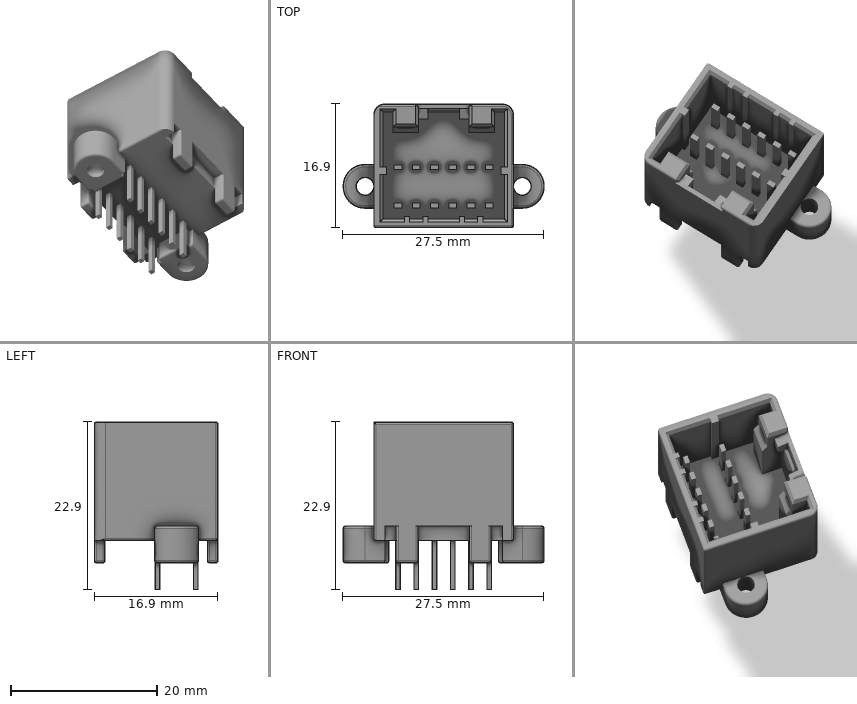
import cadquery as cq


body_x = 19.1
body_y = 16.9
body_bottom = 3.05
body_top = 19.25
back_corner_radius = 1.5
edge_radius = 0.3

cavity_half_x = 8.3
cavity_front = -7.25
cavity_back = 7.4
cavity_floor = 6.0
lip_width = 0.4
lip_depth = 0.5

tower_inner_x = 3.45
tower_outer_x = 6.95
tower_front = 5.3
tower_step = 0.75
tower_slope_top = 15.55
tower_slope_bottom = 14.5

window_bottom = 18.05
latch_wall_y = 7.85
latch_ledge_z = 15.7
ledge_chamfer = 0.25
hook_inner_x = 2.15
hook_front = 6.4
hook_drop = 0.5

side_rib_reach = 0.85
side_rib_front = -1.17
side_rib_width = 1.03
front_rib_reach = 0.7
front_rib_width = 0.7
front_rib_centers = (2.5, 5.0)

foot_inner_x = 3.5
foot_outer_x = 6.5
foot_depth = 1.45
notch_outer_x = 8.05
notch_top = 5.05

ear_center_x = 10.75
ear_center_y = -2.8
ear_radius = 3.0
ear_inner_x = notch_outer_x
ear_edge_radius = 0.35
hole_diameter = 2.4
tongue_inner_x = 7.5
tongue_setback = 0.6

pins_per_row = 6
pin_pitch = 2.5
row_spacing = 5.25
pin_thickness = 0.65
blade_width = 1.06
blade_top = 13.2
pin_bottom = -3.65

half_x = body_x / 2
half_y = body_y / 2


def block(x0, x1, y0, y1, z0, z1):
    """Box between the given limits."""
    return cq.Workplane("XY").box(x1 - x0, y1 - y0, z1 - z0, centered=False).translate((x0, y0, z0))


def both_sides(shape):
    """A shape joined with its mirror image across the YZ plane."""
    return shape.union(shape.mirror("YZ"))


def both_walls(shape):
    """A shape joined with its mirror image across the XZ plane."""
    return shape.union(shape.mirror("XZ"))


def make_housing():
    """Block rounded along every top edge but the left one, and along both side edges underneath."""
    plan = block(-half_x, half_x, -half_y, half_y, body_bottom, body_top)
    plan = plan.edges("|Z and >Y").fillet(back_corner_radius)
    plan = plan.edges("|Z and <Y").fillet(edge_radius)

    top = block(-body_x, half_x, -half_y, half_y, body_bottom, body_top)
    top = top.edges("|Z and >X and >Y").fillet(back_corner_radius)
    top = top.edges("|Z and >X and <Y").fillet(edge_radius)
    top = top.faces(">Z").edges("<Y").fillet(edge_radius)

    sides = block(-half_x, half_x, -body_y, body_y, body_bottom, body_top)
    sides = sides.edges("|Y and <Z").fillet(edge_radius)
    return plan.intersect(top).intersect(sides)


def make_cavity():
    """Open pocket with a steep bevel around its mouth."""
    pocket = block(-cavity_half_x, cavity_half_x, cavity_front, cavity_back, cavity_floor, body_top)
    mouth = (
        cq.Workplane("XY", origin=(0, (cavity_front + cavity_back) / 2, body_top - lip_depth))
        .rect(2 * cavity_half_x, cavity_back - cavity_front)
        .workplane(offset=lip_depth)
        .rect(2 * (cavity_half_x + lip_width), cavity_back - cavity_front + 2 * lip_width)
        .loft(ruled=True)
    )
    return pocket.union(mouth)


def make_tower():
    """Right guide tower: a deeper base below a slope, and a bevelled top."""
    root_y = half_y - edge_radius
    base_front = tower_front - tower_step
    bevel_bottom = body_top - lip_depth
    side_profile = (
        cq.Workplane("YZ", origin=(tower_inner_x, 0, 0))
        .moveTo(root_y, cavity_floor)
        .lineTo(base_front, cavity_floor)
        .lineTo(base_front, tower_slope_bottom)
        .lineTo(tower_front, tower_slope_top)
        .lineTo(tower_front, bevel_bottom)
        .lineTo(tower_front + lip_width, body_top)
        .lineTo(root_y, body_top)
        .close()
        .extrude(tower_outer_x - tower_inner_x)
    )
    front_profile = (
        cq.Workplane("XZ", origin=(0, root_y, 0))
        .moveTo(tower_inner_x, cavity_floor)
        .lineTo(tower_outer_x, cavity_floor)
        .lineTo(tower_outer_x, bevel_bottom)
        .lineTo(tower_outer_x - lip_width, body_top)
        .lineTo(tower_inner_x + lip_width, body_top)
        .lineTo(tower_inner_x, bevel_bottom)
        .close()
        .extrude(root_y - base_front)
    )
    return side_profile.intersect(front_profile)


def make_window():
    """Lowered middle of the back wall, with the upper and rear edges of its sides bevelled."""
    bevel_bottom = body_top - lip_depth
    outer_x = tower_inner_x + lip_width
    opening = (
        cq.Workplane("XZ", origin=(0, half_y, 0))
        .moveTo(-tower_inner_x, window_bottom)
        .lineTo(tower_inner_x, window_bottom)
        .lineTo(tower_inner_x, bevel_bottom)
        .lineTo(outer_x, body_top)
        .lineTo(-outer_x, body_top)
        .lineTo(-tower_inner_x, bevel_bottom)
        .close()
        .extrude(half_y - tower_front)
    )
    rear_flare = (
        cq.Workplane("XY", origin=(0, 0, window_bottom))
        .moveTo(-tower_inner_x, half_y - lip_width)
        .lineTo(tower_inner_x, half_y - lip_width)
        .lineTo(outer_x, half_y)
        .lineTo(-outer_x, half_y)
        .close()
        .extrude(body_top - window_bottom)
    )
    return opening.union(rear_flare)


def make_latch_recess():
    """Thinned back wall above a chamfered ledge, between the towers."""
    return (
        cq.Workplane("YZ", origin=(-tower_inner_x, 0, 0))
        .moveTo(cavity_back, latch_ledge_z - ledge_chamfer)
        .lineTo(cavity_back + ledge_chamfer, latch_ledge_z)
        .lineTo(latch_wall_y, latch_ledge_z)
        .lineTo(latch_wall_y, body_top)
        .lineTo(cavity_back, body_top)
        .close()
        .extrude(2 * tower_inner_x)
    )


def make_hook():
    """Right latch hook with a sloping top, between the tower and the latch gap."""
    return (
        cq.Workplane("YZ", origin=(hook_inner_x, 0, 0))
        .moveTo(half_y - edge_radius, latch_ledge_z)
        .lineTo(hook_front, latch_ledge_z)
        .lineTo(hook_front, window_bottom - hook_drop)
        .lineTo(latch_wall_y, window_bottom)
        .lineTo(half_y - edge_radius, window_bottom)
        .close()
        .extrude(tower_inner_x - hook_inner_x)
    )


def make_right_ribs():
    """Keying ribs of the right half: one on the side wall and two on the front wall."""
    outer_x = cavity_half_x + lip_width
    outer_y = cavity_front - lip_width
    ribs = block(
        outer_x - side_rib_reach,
        outer_x,
        side_rib_front,
        side_rib_front + side_rib_width,
        cavity_floor,
        body_top,
    )
    for center in front_rib_centers:
        left = center - front_rib_width / 2
        right = center + front_rib_width / 2
        ribs = ribs.union(block(left, right, outer_y, outer_y + front_rib_reach, cavity_floor, body_top))
    return ribs


def make_notch():
    """Right half of the recess under the front wall, foot place included."""
    inner = -half_y + foot_depth
    return block(0, notch_outer_x, -half_y, inner, body_bottom, notch_top)


def make_foot():
    """Right front foot, rounded on its upright and bottom edges."""
    inner = -half_y + foot_depth
    foot = block(foot_inner_x, foot_outer_x, -half_y, inner, 0, notch_top)
    foot = foot.edges("|Z or <Z").fillet(edge_radius)
    root = block(foot_inner_x, foot_outer_x, -half_y + edge_radius, inner, body_bottom, notch_top)
    return foot.union(root)


def make_ear():
    """Right mounting ear: a round-ended block reaching in under the housing."""
    ear = (
        cq.Workplane("XY")
        .moveTo(ear_inner_x, ear_center_y - ear_radius)
        .lineTo(ear_center_x, ear_center_y - ear_radius)
        .threePointArc(
            (ear_center_x + ear_radius, ear_center_y),
            (ear_center_x, ear_center_y + ear_radius),
        )
        .lineTo(ear_inner_x, ear_center_y + ear_radius)
        .close()
        .extrude(notch_top)
    )
    return ear.faces("<Z or >Z").edges().fillet(ear_edge_radius)


def make_tongue():
    """Narrower inner end of the right ear, rounded underneath."""
    half_width = ear_radius - tongue_setback
    tongue = block(
        tongue_inner_x,
        ear_inner_x + ear_edge_radius,
        ear_center_y - half_width,
        ear_center_y + half_width,
        0,
        notch_top,
    )
    return tongue.edges("<X and <Z").fillet(edge_radius)


def make_left_tongue():
    """Mirror image of the right tongue, with its upright corners rounded as well."""
    corner = block(
        -ear_center_x,
        -tongue_inner_x,
        ear_center_y - ear_radius + tongue_setback,
        ear_center_y + ear_radius - tongue_setback,
        0,
        notch_top,
    )
    corner = corner.edges("|Z and >X").fillet(edge_radius)
    return make_tongue().mirror("YZ").intersect(corner)


def make_ear_hole():
    """Screw hole through the right ear."""
    return (
        cq.Workplane("XY")
        .center(ear_center_x, ear_center_y)
        .circle(hole_diameter / 2)
        .extrude(notch_top)
    )


def make_pin(x, y):
    """Contact: a wide blade in the cavity and a narrow tail through the board."""
    half_blade = blade_width / 2
    half_pin = pin_thickness / 2
    blade = block(x - half_blade, x + half_blade, y - half_pin, y + half_pin, body_bottom, blade_top)
    tail = block(x - half_pin, x + half_pin, y - half_pin, y + half_pin, pin_bottom, cavity_floor)
    return blade.union(tail)


housing = make_housing().cut(make_cavity())
housing = housing.union(both_sides(make_tower()))
housing = housing.cut(make_window())
housing = housing.cut(make_latch_recess())
housing = housing.union(both_sides(make_hook()))
housing = housing.union(both_sides(make_right_ribs()))
housing = housing.cut(both_walls(both_sides(make_notch())))
housing = housing.union(both_walls(both_sides(make_foot())))
housing = housing.union(both_sides(make_ear()))
housing = housing.union(make_tongue()).union(make_left_tongue())
housing = housing.cut(both_sides(make_ear_hole()))

for pin_y in (ear_center_y - row_spacing / 2, ear_center_y + row_spacing / 2):
    for column in range(pins_per_row):
        pin_x = (column - (pins_per_row - 1) / 2) * pin_pitch
        housing = housing.union(make_pin(pin_x, pin_y))

result = housing